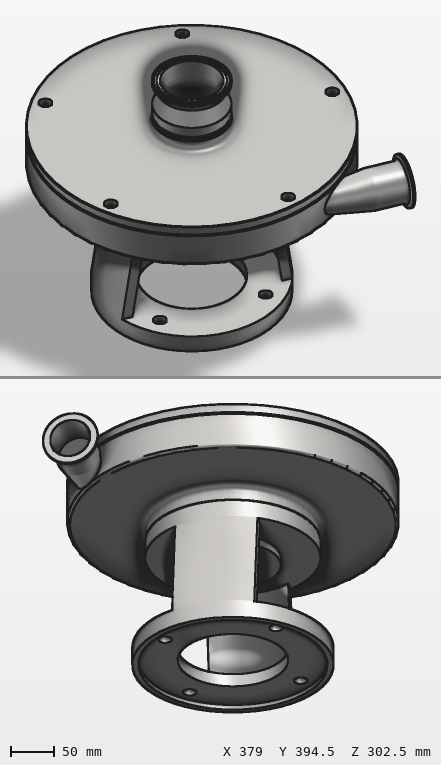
import cadquery as cq
import math

ARC_MIDDLE = 1 - math.sqrt(0.5)

TOTAL_HEIGHT = 302.5
FLANGE_THICKNESS = 21.7
LANTERN_RING_BOTTOM = 139.0
LANTERN_RING_TOP = LANTERN_RING_BOTTOM + FLANGE_THICKNESS
SEAL_DISC_DROP = 10.0
CASING_BOTTOM = 181.5
CASING_TOP = 223.5
COVER_GAP = 1.5
COVER_BOTTOM = CASING_TOP + COVER_GAP
COVER_TOP = 237.0

FOOT_RADIUS = 115.0
FOOT_BORE_RADIUS = 63.0
FOOT_RECESS_RADIUS = 108.0
FOOT_RECESS_DEPTH = 6.0
FOOT_HOLE_COUNT = 4
FOOT_HOLE_CIRCLE_RADIUS = 92.0
FOOT_HOLE_DIAMETER = 15.5
FOOT_HOLE_START_ANGLE = 45.0
LANTERN_RING_RADIUS = 100.2
LEG_WIDTH = 96.3
LEG_THICKNESS = 11.5
SEAL_DISC_RADIUS = 55.0

TOTAL_LENGTH = 394.5
CASING_DIAMETER = 379.0
CASING_RADIUS = CASING_DIAMETER / 2
COVER_RADIUS = CASING_RADIUS
CASING_EDGE_FILLET = 3.0
NECK_RADIUS = 99.0
NECK_FILLET = 10.0

OUTLET_X = 145.0
OUTLET_Z = 203.5
OUTLET_END_Y = TOTAL_LENGTH - CASING_RADIUS
OUTLET_RADIUS = 25.2
OUTLET_WALL = 2.0
OUTLET_RIM_RADIUS = 32.0
OUTLET_STRAIGHT_LENGTH = 44.0
OUTLET_TAPER_LENGTH = 79.0
OUTLET_TAPER_SLOPE = 0.15

RIM_THICKNESS = 2.8
RIM_BACK_HEIGHT = 2.0
RIM_NECK_FILLET = 2.0

COVER_CHAMFER = 0.8
COVER_HOLE_COUNT = 5
COVER_HOLE_CIRCLE_RADIUS = 172.8
COVER_HOLE_DIAMETER = 15.5
COVER_HOLE_START_ANGLE = 90.0

BOSS_RADIUS = 46.0
BOSS_FILLET = 10.0
BOSS_TOP = 251.3
BOSS_CHAMFER = 1.5
GROOVE_RADIUS = 42.5
GROOVE_TOP = 253.5
NOZZLE_RADIUS = 45.5
NOZZLE_BOTTOM = 255.5
NOZZLE_SHOULDER = 269.0
NOZZLE_THROAT_BOTTOM = 288.8
THROAT_RADIUS = 38.5
INLET_RIM_RADIUS = 45.8
INLET_BORE_RADIUS = 36.3
INLET_FLARE_TOP = 273.5
INLET_FLARE_BOTTOM = 252.5
INLET_FLARE_RADIUS = 40.2
GASKET_GROOVE_CENTER = 42.0
GASKET_GROOVE_RADIUS = 1.5


def disc(radius, bottom, top):
    """Solid cylinder on the main axis."""
    return cq.Workplane("XY").workplane(offset=bottom).circle(radius).extrude(top - bottom)


def cone(bottom_radius, top_radius, bottom, top):
    """Solid truncated cone on the main axis."""
    profile = [(0, bottom), (bottom_radius, bottom), (top_radius, top), (0, top)]
    return cq.Workplane("XZ").polyline(profile).close().revolve(360, (0, 0), (0, 1))


def bolt_holes(count, circle_radius, diameter, start_angle, bottom, top):
    """Ring of vertical cylinders to cut from a plate."""
    return (
        cq.Workplane("XY")
        .workplane(offset=bottom)
        .polarArray(circle_radius, start_angle, 360, count)
        .circle(diameter / 2)
        .extrude(top - bottom)
    )


def make_foot():
    """Foot flange with a shallow motor locating recess in its underside."""
    holes = bolt_holes(
        FOOT_HOLE_COUNT, FOOT_HOLE_CIRCLE_RADIUS, FOOT_HOLE_DIAMETER,
        FOOT_HOLE_START_ANGLE, 0, FLANGE_THICKNESS,
    )
    bore = disc(FOOT_BORE_RADIUS, 0, FLANGE_THICKNESS)
    recess = disc(FOOT_RECESS_RADIUS, 0, FOOT_RECESS_DEPTH)
    return disc(FOOT_RADIUS, 0, FLANGE_THICKNESS).cut(bore).cut(recess).cut(holes)


def make_legs():
    """Front and rear strips of a conical shell, between foot and upper ring."""
    bottom = FLANGE_THICKNESS
    top = LANTERN_RING_BOTTOM
    outer = cone(FOOT_RADIUS, LANTERN_RING_RADIUS, bottom, top)
    inner = cone(FOOT_RADIUS - LEG_THICKNESS, LANTERN_RING_RADIUS - LEG_THICKNESS, bottom, top)
    strip = (
        cq.Workplane("XY")
        .workplane(offset=bottom)
        .rect(LEG_WIDTH, 2 * FOOT_RADIUS)
        .extrude(top - bottom)
    )
    return outer.cut(inner).intersect(strip)


def make_casing_shell():
    """Casing drum with its neck, blended by a concave fillet."""
    arc_middle = NECK_FILLET * ARC_MIDDLE
    edge_middle = CASING_EDGE_FILLET * ARC_MIDDLE
    return (
        cq.Workplane("YZ")
        .moveTo(0, LANTERN_RING_TOP)
        .lineTo(NECK_RADIUS, LANTERN_RING_TOP)
        .lineTo(NECK_RADIUS, CASING_BOTTOM - NECK_FILLET)
        .threePointArc(
            (NECK_RADIUS + arc_middle, CASING_BOTTOM - arc_middle),
            (NECK_RADIUS + NECK_FILLET, CASING_BOTTOM),
        )
        .lineTo(CASING_RADIUS - CASING_EDGE_FILLET, CASING_BOTTOM)
        .threePointArc(
            (CASING_RADIUS - edge_middle, CASING_BOTTOM + edge_middle),
            (CASING_RADIUS, CASING_BOTTOM + CASING_EDGE_FILLET),
        )
        .lineTo(CASING_RADIUS, CASING_TOP)
        .lineTo(0, CASING_TOP)
        .close()
        .revolve(360, (0, 0), (0, 1))
    )


def make_outlet():
    """Outlet pipe along Y: ferrule rim, straight pipe, and a taper that runs into the casing."""
    straight_end = OUTLET_END_Y - OUTLET_STRAIGHT_LENGTH
    taper_end = straight_end - OUTLET_TAPER_LENGTH
    taper_radius = OUTLET_RADIUS - OUTLET_TAPER_SLOPE * OUTLET_TAPER_LENGTH
    rim_back = OUTLET_END_Y - RIM_THICKNESS
    neck_end = rim_back - RIM_BACK_HEIGHT
    arc_middle = RIM_NECK_FILLET * ARC_MIDDLE
    pipe = (
        cq.Workplane("XY")
        .moveTo(0, taper_end)
        .lineTo(taper_radius, taper_end)
        .lineTo(OUTLET_RADIUS, straight_end)
        .lineTo(OUTLET_RADIUS, neck_end - RIM_NECK_FILLET)
        .threePointArc(
            (OUTLET_RADIUS + arc_middle, neck_end - arc_middle),
            (OUTLET_RADIUS + RIM_NECK_FILLET, neck_end),
        )
        .lineTo(OUTLET_RIM_RADIUS, rim_back)
        .lineTo(OUTLET_RIM_RADIUS, OUTLET_END_Y)
        .lineTo(0, OUTLET_END_Y)
        .close()
        .revolve(360, (0, 0), (0, 1))
    )
    return pipe.translate((OUTLET_X, 0, OUTLET_Z))


def make_outlet_bore():
    """Bore of the straight part of the outlet pipe."""
    return (
        cq.Workplane("XZ", origin=(OUTLET_X, OUTLET_END_Y, OUTLET_Z))
        .circle(OUTLET_RADIUS - OUTLET_WALL)
        .extrude(OUTLET_STRAIGHT_LENGTH)
    )


def make_housing():
    """Lantern, casing and outlet as one solid."""
    return (
        make_foot()
        .union(make_legs())
        .union(disc(LANTERN_RING_RADIUS, LANTERN_RING_BOTTOM, LANTERN_RING_TOP))
        .union(disc(SEAL_DISC_RADIUS, LANTERN_RING_BOTTOM - SEAL_DISC_DROP, LANTERN_RING_BOTTOM))
        .union(make_casing_shell())
        .union(make_outlet())
        .cut(make_outlet_bore())
    )


def make_cover_plate():
    """Disc with both rims chamfered and a ring of bolt holes."""
    holes = bolt_holes(
        COVER_HOLE_COUNT, COVER_HOLE_CIRCLE_RADIUS, COVER_HOLE_DIAMETER,
        COVER_HOLE_START_ANGLE, COVER_BOTTOM, COVER_TOP,
    )
    plate = disc(COVER_RADIUS, COVER_BOTTOM, COVER_TOP).edges().chamfer(COVER_CHAMFER)
    return plate.cut(holes)


def make_inlet():
    """Boss with a concave base fillet, groove, and the stepped inlet nozzle above it."""
    arc_middle = BOSS_FILLET * ARC_MIDDLE
    neck_arc_middle = RIM_NECK_FILLET * ARC_MIDDLE
    rim_back = TOTAL_HEIGHT - RIM_THICKNESS
    neck_end = rim_back - RIM_BACK_HEIGHT
    return (
        cq.Workplane("XZ")
        .moveTo(0, COVER_TOP)
        .lineTo(BOSS_RADIUS + BOSS_FILLET, COVER_TOP)
        .threePointArc(
            (BOSS_RADIUS + arc_middle, COVER_TOP + arc_middle),
            (BOSS_RADIUS, COVER_TOP + BOSS_FILLET),
        )
        .lineTo(BOSS_RADIUS, BOSS_TOP - BOSS_CHAMFER)
        .lineTo(BOSS_RADIUS - BOSS_CHAMFER, BOSS_TOP)
        .lineTo(GROOVE_RADIUS, BOSS_TOP)
        .lineTo(GROOVE_RADIUS, GROOVE_TOP)
        .lineTo(NOZZLE_RADIUS, NOZZLE_BOTTOM)
        .lineTo(NOZZLE_RADIUS, NOZZLE_SHOULDER)
        .lineTo(THROAT_RADIUS, NOZZLE_THROAT_BOTTOM)
        .lineTo(THROAT_RADIUS, neck_end - RIM_NECK_FILLET)
        .threePointArc(
            (THROAT_RADIUS + neck_arc_middle, neck_end - neck_arc_middle),
            (THROAT_RADIUS + RIM_NECK_FILLET, neck_end),
        )
        .lineTo(INLET_RIM_RADIUS, rim_back)
        .lineTo(INLET_RIM_RADIUS, TOTAL_HEIGHT)
        .lineTo(0, TOTAL_HEIGHT)
        .close()
        .revolve(360, (0, 0), (0, 1))
    )


def make_inlet_bore():
    """Straight bore that flares below the throat and runs out through the plate."""
    throat = disc(INLET_BORE_RADIUS, INLET_FLARE_TOP, TOTAL_HEIGHT)
    flare = cone(INLET_FLARE_RADIUS, INLET_BORE_RADIUS, INLET_FLARE_BOTTOM, INLET_FLARE_TOP)
    return throat.union(flare).union(disc(INLET_FLARE_RADIUS, COVER_BOTTOM, INLET_FLARE_BOTTOM))


def make_gasket_groove():
    """Round-bottomed ring groove in the sealing face of the inlet rim."""
    return (
        cq.Workplane("XZ")
        .center(GASKET_GROOVE_CENTER, TOTAL_HEIGHT)
        .circle(GASKET_GROOVE_RADIUS)
        .revolve(360, (-GASKET_GROOVE_CENTER, 0), (-GASKET_GROOVE_CENTER, 1))
    )


def make_cover():
    """Cover plate with the inlet nozzle standing on it."""
    return (
        make_cover_plate()
        .union(make_inlet())
        .cut(make_inlet_bore())
        .cut(make_gasket_groove())
    )


housing = make_housing()
cover = make_cover()

result = cq.Compound.makeCompound([housing.val(), cover.val()])